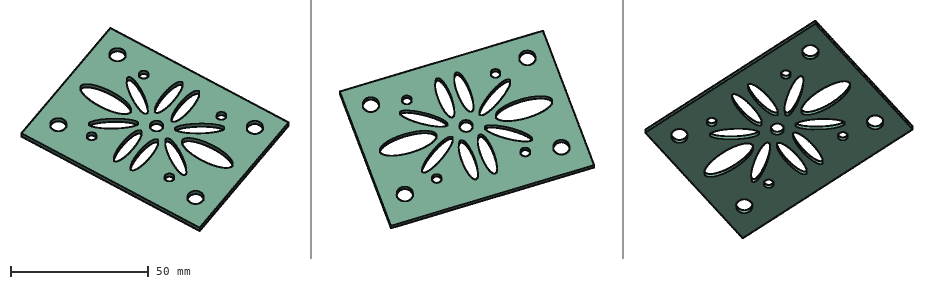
import cadquery as cq

length = 77.8
width = 58.0
thickness = 2.0

pattern_y = 1.0

centre_hole_diameter = 4.8
mount_hole_diameter = 6.0
mount_hole_x = 29.95
mount_hole_y = 19.3
screw_hole_diameter = 3.6
screw_hole_offset = 16.95

side_petal_length = 21.6
side_petal_width = 7.85
side_petal_x = 22.2
upright_petal_length = 16.9
upright_petal_width = 4.75
upright_petal_x = 3.65
upright_petal_y = 13.4
diagonal_petal_length = 18.0
diagonal_petal_width = 4.5
diagonal_petal_x = 13.6
diagonal_petal_y = 7.8
diagonal_petal_angle = 35.0


def four_corners(x, y):
    """Mirror one point into all four quadrants around the pattern centre."""
    return [(side * x, end * y) for side in (-1, 1) for end in (-1, 1)]


def round_holes(diameter, points):
    """Cylindrical cutters through the plate."""
    return pattern_plane.pushPoints(points).circle(diameter / 2).extrude(thickness)


def petal(petal_length, petal_width, x, y, angle=0):
    """Elliptical cutter with its long axis turned by angle from X."""
    return (
        pattern_plane.center(x, y)
        .ellipse(petal_length / 2, petal_width / 2, rotation_angle=angle)
        .extrude(thickness)
    )


plate = cq.Workplane("XY").rect(length, width).extrude(thickness)
pattern_plane = cq.Workplane("XY").center(0, pattern_y)

result = plate.cut(round_holes(centre_hole_diameter, [(0, 0)]))
result = result.cut(round_holes(mount_hole_diameter, four_corners(mount_hole_x, mount_hole_y)))
result = result.cut(round_holes(screw_hole_diameter, four_corners(screw_hole_offset, screw_hole_offset)))

for x in (-side_petal_x, side_petal_x):
    result = result.cut(petal(side_petal_length, side_petal_width, x, 0))

for x, y in four_corners(upright_petal_x, upright_petal_y):
    result = result.cut(petal(upright_petal_length, upright_petal_width, x, y, 90))

for x, y in four_corners(diagonal_petal_x, diagonal_petal_y):
    angle = diagonal_petal_angle if x * y > 0 else -diagonal_petal_angle
    result = result.cut(petal(diagonal_petal_length, diagonal_petal_width, x, y, angle))